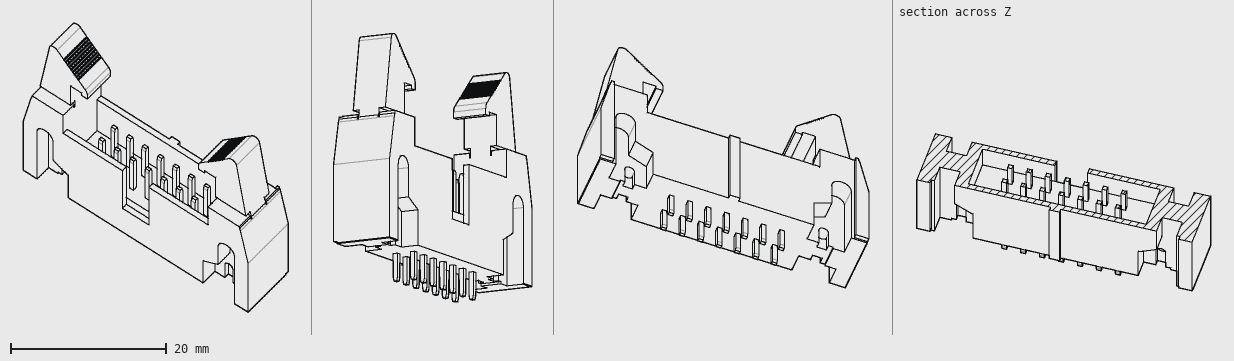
import cadquery as cq
import math


PIN_COLUMNS = 7
PIN_ROWS = 2
PIN_PITCH = 2.54
PIN_WIDTH = 0.64
PIN_TOP = 12.42
PIN_BOTTOM = -3.6
PIN_TIP_LENGTH = 0.5
PIN_TIP_INSET = 0.12

OVERALL_LENGTH = 36.98
BODY_WIDTH = 7.8
HALF_LENGTH = OVERALL_LENGTH / 2
HALF_WIDTH = BODY_WIDTH / 2
WALL_TOP = 12.9
WALL_THICKNESS = 0.83
CAVITY_HALF_LENGTH = 11.9
CAVITY_FLOOR = 6.4
WINDOW_WIDTH = 4.34
WINDOW_SILL = 5.0

TOWER_TOP = 16.65
TOWER_SLOPE_START = 10.1
TOWER_SLOPE_END = 15.9
TOWER_SLOPE_END_X = 17.23
TOWER_ROUND_END = 16.3
FOOT_DEPTH = 0.3
FOOT_INNER_X = 14.69
FOOT_CHAMFER = 0.1

REAR_PROUD = 0.5
RAIL_INNER_X = 16.67
RAIL_TOP = 16.57
KEY_WIDTH = 1.4

LATCH_TOP = 27.3
LATCH_WIDTH = 4.77
LATCH_NECK_WIDTH = 2.95
LATCH_SHOULDER = 17.25
LATCH_OUTER_X = 16.92
LATCH_LEAN = 0.164
TIP_RADIUS = 0.75
NOSE_X = 9.13
NOSE_RADIUS = 1.15
HOOK_ANGLE = math.radians(45)
HOOK_UNDERSIDE = 21.3
LIP_BOTTOM = 20.83
LIP_INNER_X = 10.1
GAP_WIDTH = 0.15
GAP_DEPTH = 0.6

GRIP_NOTCHES = 9
GRIP_START_X = 13.05
GRIP_END_X = 10.6

RECESS_OUTER_X = 16.24
RECESS_INNER_X = 13.57
RECESS_TOP = 11.07
RECESS_FLARE_X = 11.1
RECESS_FLARE_TOP = 5.9
RECESS_FLARE_BOTTOM = 4.65
PIVOT_X = 13.39
PIVOT_Z = 2.73
PIVOT_DIAMETER = 1.32
GROOVE_DEPTH = 0.75

CLEARANCE = 1.0


def box(x0, x1, y0, y1, z0, z1):
    """Box between two opposite corners."""
    return cq.Workplane("XY").box(x1 - x0, y1 - y0, z1 - z0, centered=False).translate((x0, y0, z0))


def plate(outline, y0, y1):
    """Closed XZ outline extruded between two Y values."""
    return outline.extrude(-(y1 - y0)).translate((0, y0, 0))


def polygon(points):
    """Closed XZ outline through the given points."""
    return cq.Workplane("XZ").polyline(points).close()


def both_ends(shape):
    """Shape at the +X end joined with its mirror image at the -X end."""
    return shape.union(shape.mirror("YZ"))


def both_sides(shape):
    """Shape on the -Y side joined with its mirror image on the +Y side."""
    return shape.union(shape.mirror("XZ"))


def latch_outer_x(z):
    """X of the leaning outer face of the latch at height z."""
    return LATCH_OUTER_X - LATCH_LEAN * (z - LATCH_SHOULDER)


def tower_outline(bottom, top, inner_x):
    """Outline of an end tower, or of a strip along its outer edge."""
    return (
        cq.Workplane("XZ")
        .moveTo(inner_x, bottom)
        .lineTo(HALF_LENGTH, bottom)
        .lineTo(HALF_LENGTH, TOWER_SLOPE_START)
        .lineTo(TOWER_SLOPE_END_X, TOWER_SLOPE_END)
        .tangentArcPoint((latch_outer_x(TOWER_ROUND_END), TOWER_ROUND_END), relative=False)
        .lineTo(latch_outer_x(top), top)
        .lineTo(inner_x, top)
        .close()
    )


def make_body():
    """Open trough with a key window in its front wall and a key on its rear wall."""
    body = box(-FOOT_INNER_X, FOOT_INNER_X, -HALF_WIDTH, HALF_WIDTH, 0, WALL_TOP)
    inner_y = HALF_WIDTH - WALL_THICKNESS
    body = body.cut(box(-CAVITY_HALF_LENGTH, CAVITY_HALF_LENGTH, -inner_y, inner_y, CAVITY_FLOOR, WALL_TOP))
    half_window = WINDOW_WIDTH / 2
    body = body.cut(box(-half_window, half_window, -HALF_WIDTH, -inner_y, WINDOW_SILL, WALL_TOP))
    half_key = KEY_WIDTH / 2
    return body.union(box(-half_key, half_key, inner_y, HALF_WIDTH + REAR_PROUD, 0, WALL_TOP))


def make_tower():
    """End tower with its foot, rear rail and the slits beside the latch neck."""
    tower = plate(tower_outline(0, TOWER_TOP, CAVITY_HALF_LENGTH), -HALF_WIDTH, HALF_WIDTH)
    foot = box(FOOT_INNER_X, HALF_LENGTH, -HALF_WIDTH, HALF_WIDTH, -FOOT_DEPTH, 0)
    foot = foot.faces("<Z").edges(">X or <Y").chamfer(FOOT_CHAMFER)
    rail = plate(tower_outline(0, RAIL_TOP, RAIL_INNER_X), HALF_WIDTH, HALF_WIDTH + REAR_PROUD)
    neck_y = LATCH_NECK_WIDTH / 2
    slit_floor = TOWER_TOP - GAP_DEPTH
    slit = box(CAVITY_HALF_LENGTH, HALF_LENGTH, -neck_y - GAP_WIDTH, -neck_y, slit_floor, TOWER_TOP)
    return tower.union(foot).union(rail).cut(both_sides(slit))


def make_latch():
    """Latch above the tower: narrow neck, wide hooked head and notched finger grip."""
    lean_angle = math.atan(LATCH_LEAN)
    tip_z = LATCH_TOP - TIP_RADIUS
    tip_x = latch_outer_x(tip_z) - TIP_RADIUS / math.cos(lean_angle)
    hook_slope = math.tan(HOOK_ANGLE)

    def hook_z(x):
        """Height of the sloping hook face at x."""
        return tip_z + TIP_RADIUS / math.cos(HOOK_ANGLE) - hook_slope * (tip_x - x)

    apex_rise = hook_z(LATCH_OUTER_X) - LATCH_SHOULDER
    apex_z = LATCH_SHOULDER + apex_rise / (1 + hook_slope * LATCH_LEAN)
    apex_x = latch_outer_x(apex_z)

    head = plate(polygon([
        (CAVITY_HALF_LENGTH, LATCH_SHOULDER),
        (LATCH_OUTER_X, LATCH_SHOULDER),
        (apex_x, apex_z),
        (NOSE_X, hook_z(NOSE_X)),
        (NOSE_X, LIP_BOTTOM),
        (LIP_INNER_X, LIP_BOTTOM),
        (LIP_INNER_X, HOOK_UNDERSIDE),
        (CAVITY_HALF_LENGTH, HOOK_UNDERSIDE),
    ]), -LATCH_WIDTH / 2, LATCH_WIDTH / 2)
    head = head.edges(cq.NearestToPointSelector((apex_x, 0, apex_z))).fillet(TIP_RADIUS)
    head = head.edges(cq.NearestToPointSelector((NOSE_X, 0, hook_z(NOSE_X)))).fillet(NOSE_RADIUS)

    notch_run = (GRIP_START_X - GRIP_END_X) / (2 * GRIP_NOTCHES - 1)
    for i in range(GRIP_NOTCHES):
        outer_x = GRIP_START_X - 2 * i * notch_run
        inner_x = outer_x - notch_run
        notch = polygon([
            (outer_x, hook_z(outer_x)),
            (inner_x, hook_z(inner_x)),
            (outer_x, hook_z(inner_x)),
        ])
        head = head.cut(plate(notch, -LATCH_WIDTH / 2, LATCH_WIDTH / 2))

    neck = plate(polygon([
        (CAVITY_HALF_LENGTH, TOWER_TOP),
        (latch_outer_x(TOWER_TOP), TOWER_TOP),
        (LATCH_OUTER_X, LATCH_SHOULDER),
        (CAVITY_HALF_LENGTH, LATCH_SHOULDER),
    ]), -LATCH_NECK_WIDTH / 2, LATCH_NECK_WIDTH / 2)
    return head.union(neck)


def make_recess():
    """Cutter for one front recess, down to the latch, with the groove below the pivot hole."""
    radius = (RECESS_OUTER_X - RECESS_INNER_X) / 2
    spring_z = RECESS_TOP - radius
    bottom = -FOOT_DEPTH - CLEARANCE
    outline = (
        cq.Workplane("XZ")
        .moveTo(RECESS_OUTER_X, bottom)
        .lineTo(RECESS_OUTER_X, spring_z)
        .threePointArc((RECESS_INNER_X + radius, RECESS_TOP), (RECESS_INNER_X, spring_z))
        .lineTo(RECESS_INNER_X, RECESS_FLARE_TOP)
        .lineTo(RECESS_FLARE_X, RECESS_FLARE_BOTTOM)
        .lineTo(RECESS_FLARE_X, bottom)
        .close()
    )
    latch_y = -LATCH_NECK_WIDTH / 2
    recess = plate(outline, -HALF_WIDTH, latch_y)
    half_groove = PIVOT_DIAMETER / 2
    groove_x0 = PIVOT_X - half_groove
    groove_x1 = PIVOT_X + half_groove
    groove = box(groove_x0, groove_x1, latch_y, latch_y + GROOVE_DEPTH, bottom, PIVOT_Z)
    return recess.union(groove)


def make_pivot_hole():
    """Cutter for the hole through the latch."""
    outline = cq.Workplane("XZ").center(PIVOT_X, PIVOT_Z).circle(PIVOT_DIAMETER / 2)
    return plate(outline, -HALF_WIDTH, HALF_WIDTH)


def make_pin():
    """Square pin with both tips tapered across Y."""
    half = PIN_WIDTH / 2
    tip = half - PIN_TIP_INSET
    outline = cq.Workplane("YZ").polyline([
        (-tip, PIN_BOTTOM),
        (tip, PIN_BOTTOM),
        (half, PIN_BOTTOM + PIN_TIP_LENGTH),
        (half, PIN_TOP - PIN_TIP_LENGTH),
        (tip, PIN_TOP),
        (-tip, PIN_TOP),
        (-half, PIN_TOP - PIN_TIP_LENGTH),
        (-half, PIN_BOTTOM + PIN_TIP_LENGTH),
    ]).close()
    return outline.extrude(half, both=True)


def add_pins(part):
    """Part with the whole pin grid joined to it."""
    pin = make_pin()
    for column in range(PIN_COLUMNS):
        x = (column - (PIN_COLUMNS - 1) / 2) * PIN_PITCH
        for row in range(PIN_ROWS):
            y = (row - (PIN_ROWS - 1) / 2) * PIN_PITCH
            part = part.union(pin.translate((x, y, 0)))
    return part


part = make_body()
part = part.union(both_ends(make_tower()))
part = part.union(both_ends(make_latch()))
part = part.cut(both_ends(both_sides(make_recess())))
part = part.cut(both_ends(make_pivot_hole()))
result = add_pins(part)